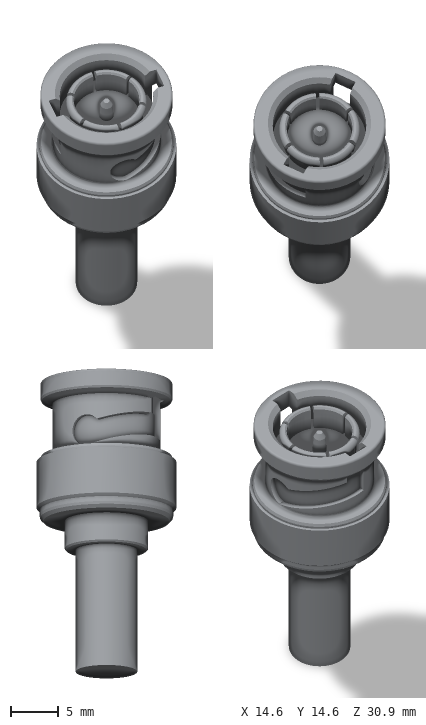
import cadquery as cq
import math

length = 30.95

tube_radius = 3.22
shoulder_radius = 4.35
shoulder_bottom = 13.0
shoulder_chamfer = 0.2

grip_radius = 7.3
rim_radius = 7.0
grip_rear = 16.1
grip_rear_chamfer = 0.35
grip_rear_taper = 0.05
grip_rear_taper_height = 0.28
grip_bottom = 17.25
grip_chamfer = grip_radius - rim_radius
grip_top = 22.45
rim_top = 22.95
rim_bevel = 0.15
rim_bevel_height = 0.28

neck_radius = 5.65
neck_fillet = 0.2
collar_radius = 6.9
collar_fillet = 0.25
collar_bevel = 0.12
collar_bevel_height = 0.22
collar_bottom = 28.95
collar_cone_bottom = 28.57

bore_radius = 4.9
bore_chamfer = 0.5
bore_floor = 27.3
core_radius = 5.1

slot_width = 2.35
channel_reach = 6.0
ramp_angle = 15.0
detent_radius = 1.6
detent_height = 24.75

finger_top = 30.05
finger_inner_radius = 3.45
finger_outer_radius = 3.85
finger_bulge = 0.37
finger_bulge_height = 1.05
finger_chamfer = 0.2
slit_width = 0.37
slit_count = 6

pin_base_radius = 0.75
pin_front_radius = 0.62
pin_tip_radius = 0.3
pin_nose_height = 29.12
pin_top = 29.7


def make_shell():
    """Turned outer shape from the cable end to the front collar."""
    taper_radius = rim_radius - grip_rear_taper
    rear_chamfer_top = grip_rear + grip_rear_chamfer
    arc_inset = 1 - math.sqrt(0.5)
    neck_inset = neck_fillet * arc_inset
    collar_inset = collar_fillet * arc_inset
    profile = (
        cq.Workplane("XZ")
        .lineTo(tube_radius, 0)
        .lineTo(tube_radius, shoulder_bottom)
        .lineTo(shoulder_radius - shoulder_chamfer, shoulder_bottom)
        .lineTo(shoulder_radius, shoulder_bottom + shoulder_chamfer)
        .lineTo(shoulder_radius, grip_rear)
        .lineTo(taper_radius - grip_rear_chamfer, grip_rear)
        .lineTo(taper_radius, rear_chamfer_top)
        .lineTo(rim_radius, rear_chamfer_top + grip_rear_taper_height)
        .lineTo(rim_radius, grip_bottom)
        .lineTo(grip_radius, grip_bottom + grip_chamfer)
        .lineTo(grip_radius, grip_top)
        .lineTo(rim_radius, grip_top)
        .lineTo(rim_radius, rim_top - rim_bevel_height)
        .lineTo(rim_radius - rim_bevel, rim_top)
        .lineTo(neck_radius + neck_fillet, rim_top)
        .threePointArc(
            (neck_radius + neck_inset, rim_top + neck_inset),
            (neck_radius, rim_top + neck_fillet),
        )
        .lineTo(neck_radius, collar_cone_bottom)
        .lineTo(collar_radius - collar_bevel, collar_bottom)
        .lineTo(collar_radius, collar_bottom + collar_bevel_height)
        .lineTo(collar_radius, length - collar_fillet)
        .threePointArc(
            (collar_radius - collar_inset, length - collar_inset),
            (collar_radius - collar_fillet, length),
        )
        .lineTo(0, length)
        .close()
    )
    return profile.revolve(360, (0, 0), (0, 1))


def make_bore():
    """Bore with a lead-in chamfer, open at the front."""
    outline = [
        (0, bore_floor),
        (bore_radius, bore_floor),
        (bore_radius, length - bore_chamfer),
        (bore_radius + bore_chamfer, length),
        (0, length),
    ]
    return cq.Workplane("XZ").polyline(outline).close().revolve(360, (0, 0), (0, 1))


def make_bayonet_slot():
    """Cutter for the slot that enters at -Y and ends in a detent at -X."""
    reach = grip_radius
    cos_ramp = math.cos(math.radians(ramp_angle))
    slope = math.tan(math.radians(ramp_angle))
    rise = slope * reach
    wall_height = slot_width / cos_ramp
    floor_start = detent_height - detent_radius / cos_ramp
    ramp = (
        cq.Workplane("YZ", origin=(-reach, 0, 0))
        .moveTo(0, floor_start)
        .lineTo(-reach, floor_start + rise)
        .lineTo(-reach, floor_start + rise + wall_height)
        .lineTo(0, floor_start + wall_height)
        .close()
        .extrude(reach + slot_width / 2)
    )
    detent = (
        cq.Workplane("YZ", origin=(-reach, 0, 0))
        .center(0, detent_height)
        .circle(detent_radius)
        .extrude(reach)
    )
    channel_bottom = floor_start + slope * neck_radius + wall_height / 2
    channel = (
        cq.Workplane("XY", origin=(0, -channel_reach / 2, channel_bottom))
        .rect(slot_width, channel_reach)
        .extrude(length - channel_bottom)
    )
    return ramp.union(detent).union(channel)


def make_core():
    """Solid insert that fills the bore up to its floor and backs the slots."""
    return cq.Workplane("XY", origin=(0, 0, grip_top)).circle(core_radius).extrude(bore_floor - grip_top)


def make_fingers():
    """Contact ring with a rounded bulge at its mouth, slit into equal fingers."""
    bulge_bottom = finger_top - finger_bulge_height
    ring = (
        cq.Workplane("XZ")
        .moveTo(finger_inner_radius, bore_floor)
        .lineTo(finger_outer_radius, bore_floor)
        .lineTo(finger_outer_radius, bulge_bottom)
        .threePointArc(
            (finger_outer_radius + finger_bulge, finger_top - finger_bulge_height / 2),
            (finger_outer_radius, finger_top),
        )
        .lineTo(finger_inner_radius + finger_chamfer, finger_top)
        .lineTo(finger_inner_radius, finger_top - finger_chamfer)
        .close()
        .revolve(360, (0, 0), (0, 1))
    )
    for index in range(slit_count // 2):
        slit = (
            cq.Workplane("XY", origin=(0, 0, bore_floor))
            .rect(2 * bore_radius, slit_width)
            .extrude(length - bore_floor)
            .rotate((0, 0, 0), (0, 0, 1), index * 360 / slit_count)
        )
        ring = ring.cut(slit)
    return ring


def make_pin():
    """Slightly tapered centre pin with a conical nose and a flat tip."""
    outline = [
        (0, bore_floor),
        (pin_base_radius, bore_floor),
        (pin_front_radius, pin_nose_height),
        (pin_tip_radius, pin_top),
        (0, pin_top),
    ]
    return cq.Workplane("XZ").polyline(outline).close().revolve(360, (0, 0), (0, 1))


shell = make_shell().cut(make_bore())
bayonet_slot = make_bayonet_slot()
for angle in (0, 180):
    shell = shell.cut(bayonet_slot.rotate((0, 0, 0), (0, 0, 1), angle))

result = shell.union(make_core()).union(make_fingers()).union(make_pin())